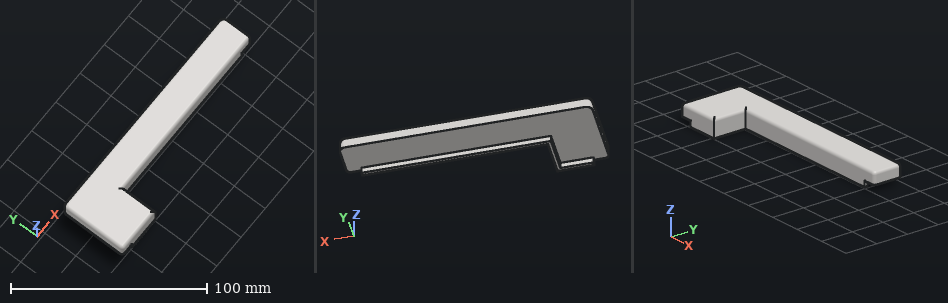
import cadquery as cq

length = 132.7
depth = 39.3
height = 11.0
leg_width = 27.3
arm_width = 18.7

back_corner_radius = 3.2
top_corner_radius = 1.13
edge_radius = back_corner_radius - top_corner_radius

wall_drop = 3.6
wall_thickness = edge_radius
wall_end_inset = 8.0

arm_front = depth - arm_width


def box(x_start, x_end, y_start, y_end, z_start, z_end):
    """Box spanning the given limits."""
    size = (x_end - x_start, y_end - y_start, z_end - z_start)
    return cq.Workplane("XY").box(*size, centered=False).translate((x_start, y_start, z_start))


def make_plate():
    """L-shaped plate with rounded corners and a rounded top rim."""
    plate = (
        cq.Workplane("XY")
        .workplane(offset=wall_drop)
        .moveTo(0, 0)
        .lineTo(leg_width, 0)
        .lineTo(leg_width, arm_front)
        .lineTo(length, arm_front)
        .lineTo(length, depth)
        .lineTo(0, depth)
        .close()
        .extrude(height - wall_drop)
    )
    plate = plate.edges("|Z and >Y").fillet(back_corner_radius)

    front_left = cq.selectors.NearestToPointSelector((0, 0, height / 2))
    arm_end = cq.selectors.NearestToPointSelector((length, arm_front, height / 2))
    vertical_edges = plate.edges("|Z")
    rounded_edges = vertical_edges.edges(front_left).add(vertical_edges.edges(arm_end))
    return rounded_edges.add(plate.faces(">Z").edges()).fillet(edge_radius)


def make_wall():
    """Wall along the front of the leg, its inner side and the front of the arm."""
    inner_side = leg_width - wall_thickness
    arm_back = arm_front + wall_thickness
    wall_top = height - edge_radius
    leg_front_wall = box(wall_end_inset, leg_width, 0, wall_thickness, 0, wall_top)
    leg_side_wall = box(inner_side, leg_width, 0, arm_back, 0, wall_top)
    arm_front_wall = box(inner_side, length - wall_end_inset, arm_front, arm_back, 0, wall_top)
    return leg_front_wall.union(leg_side_wall).union(arm_front_wall)


result = make_plate().union(make_wall()).clean()